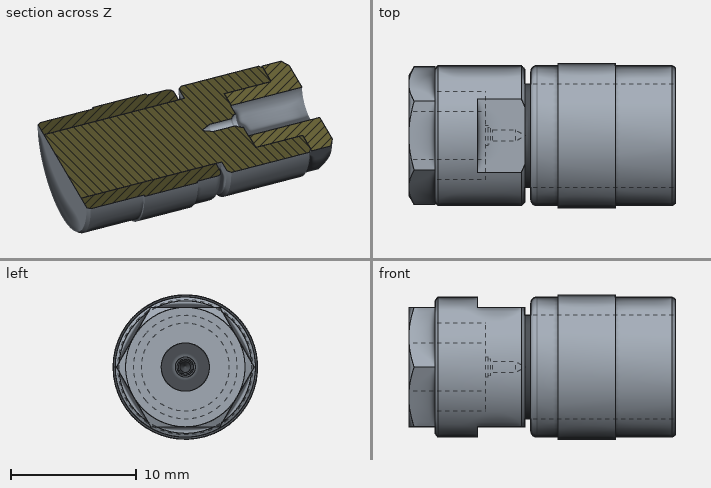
import cadquery as cq
import math

total_length = 21.23
rear_face = -total_length / 2
front_face = total_length / 2

hex_flats = 9.5
hex_corners = hex_flats / math.cos(math.radians(30))
hex_length = 2.09
hex_chamfer_angle = 30
shank_dia = 7.0
shank_length = 4.0
cable_bore_dia = 3.84

barrel_dia = 11.15
barrel_length = 7.14
barrel_rear_chamfer_length = 0.22
barrel_front_chamfer_length = 0.28
barrel_chamfer_depth = 0.3
flat_length = 3.76
spigot_dia = 8.25
spigot_gap = 0.47

counterbore_dia = 1.6
counterbore_depth = 0.2
step_dia = 1.32
step_depth = 0.2
contact_mouth_dia = 1.1
contact_hole_dia = 0.86
contact_chamfer_length = 0.15
contact_hole_depth = 2.0
drill_tip_length = 0.8

sleeve_dia = 11.15
sleeve_rear_radius = 0.5
sleeve_front_chamfer_length = 0.28
sleeve_front_chamfer_depth = 0.2
band_dia = 11.5
band_offset = 2.15
band_length = 4.58

barrel_rear = rear_face + hex_length
barrel_front = barrel_rear + barrel_length
recess_floor = barrel_rear + shank_length
sleeve_rear = barrel_front + spigot_gap


def cylinder(start, length, diameter):
    """Solid cylinder on the X axis running from start toward +X."""
    return cq.Workplane("YZ", origin=(start, 0, 0)).circle(diameter / 2).extrude(length)


def revolve_about_x(profile):
    """Turn a closed (x, radius) profile around the X axis."""
    return profile.close().revolve(360, (0, 0, 0), (1, 0, 0))


def make_clamp_nut():
    """Hexagonal head with chamfered corners, a round shank and a cable bore."""
    head = cq.Workplane("YZ", origin=(rear_face, 0, 0)).polygon(6, hex_corners).extrude(hex_length)
    chamfer_length = (hex_corners - hex_flats) / 2 * math.tan(math.radians(hex_chamfer_angle))
    chamfer_envelope = revolve_about_x(
        cq.Workplane("XY")
        .moveTo(rear_face, 0)
        .lineTo(rear_face, hex_flats / 2)
        .lineTo(rear_face + chamfer_length, hex_corners / 2)
        .lineTo(barrel_rear, hex_corners / 2)
        .lineTo(barrel_rear, 0)
    )
    shank = cylinder(barrel_rear, shank_length, shank_dia)
    cable_bore = cylinder(rear_face, hex_length + shank_length, cable_bore_dia)
    return head.intersect(chamfer_envelope).union(shank).cut(cable_bore)


def make_contact_hole():
    """Twice-stepped hole with a chamfered mouth and a conical bottom, starting at the recess floor."""
    counterbore_floor = recess_floor + counterbore_depth
    step_floor = counterbore_floor + step_depth
    hole_end = step_floor + contact_hole_depth
    return revolve_about_x(
        cq.Workplane("XY")
        .moveTo(recess_floor, 0)
        .lineTo(recess_floor, counterbore_dia / 2)
        .lineTo(counterbore_floor, counterbore_dia / 2)
        .lineTo(counterbore_floor, step_dia / 2)
        .lineTo(step_floor, step_dia / 2)
        .lineTo(step_floor, contact_mouth_dia / 2)
        .lineTo(step_floor + contact_chamfer_length, contact_hole_dia / 2)
        .lineTo(hole_end, contact_hole_dia / 2)
        .lineTo(hole_end + drill_tip_length, 0)
    )


def make_body():
    """Barrel with two wrench flats, and a spigot that fills the sleeve."""
    barrel_radius = barrel_dia / 2
    chamfered_radius = barrel_radius - barrel_chamfer_depth
    barrel = revolve_about_x(
        cq.Workplane("XY")
        .moveTo(barrel_rear, 0)
        .lineTo(barrel_rear, chamfered_radius)
        .lineTo(barrel_rear + barrel_rear_chamfer_length, barrel_radius)
        .lineTo(barrel_front - barrel_front_chamfer_length, barrel_radius)
        .lineTo(barrel_front, chamfered_radius)
        .lineTo(barrel_front, 0)
    )
    flat_center = barrel_front - flat_length / 2
    flat_cut_height = (barrel_dia - hex_flats) / 2
    for side in (1, -1):
        flat_cut = cq.Workplane("XY").box(flat_length, barrel_dia, flat_cut_height)
        barrel = barrel.cut(flat_cut.translate((flat_center, 0, side * (hex_flats + flat_cut_height) / 2)))
    spigot = cylinder(barrel_front, front_face - barrel_front, spigot_dia)
    shank_recess = cylinder(barrel_rear, shank_length, shank_dia)
    return barrel.union(spigot).cut(shank_recess).cut(make_contact_hole())


def make_coupling_sleeve():
    """Ring around the spigot with a rounded rear edge and a raised band."""
    sleeve_radius = sleeve_dia / 2
    bore_radius = spigot_dia / 2
    band_rear = sleeve_rear + band_offset
    band_front = band_rear + band_length
    round_mid = sleeve_rear_radius * (1 - math.sqrt(0.5))
    return revolve_about_x(
        cq.Workplane("XY")
        .moveTo(sleeve_rear, bore_radius)
        .lineTo(sleeve_rear, sleeve_radius - sleeve_rear_radius)
        .threePointArc(
            (sleeve_rear + round_mid, sleeve_radius - round_mid),
            (sleeve_rear + sleeve_rear_radius, sleeve_radius),
        )
        .lineTo(band_rear, sleeve_radius)
        .lineTo(band_rear, band_dia / 2)
        .lineTo(band_front, band_dia / 2)
        .lineTo(band_front, sleeve_radius)
        .lineTo(front_face - sleeve_front_chamfer_length, sleeve_radius)
        .lineTo(front_face, sleeve_radius - sleeve_front_chamfer_depth)
        .lineTo(front_face, bore_radius)
    )


clamp_nut = make_clamp_nut()
body = make_body()
coupling_sleeve = make_coupling_sleeve()

result = cq.Compound.makeCompound([clamp_nut.val(), body.val(), coupling_sleeve.val()])